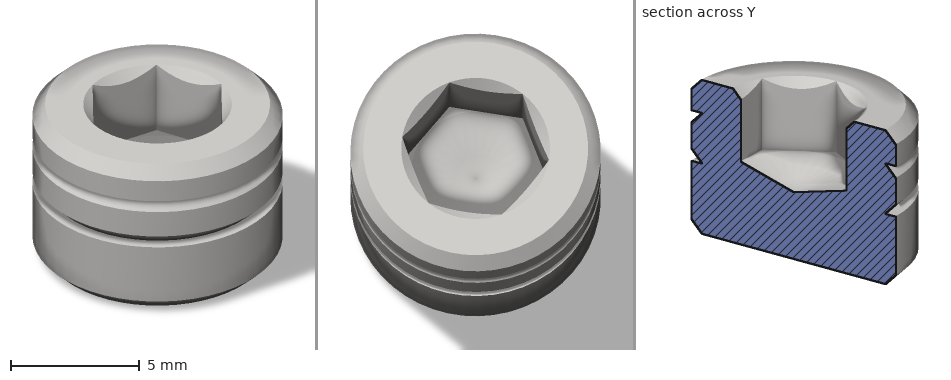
import cadquery as cq
import math

outer_radius = 4.865
height = 6.5
chamfer = 0.5

upper_shoulder_z = height - 1.41
lower_shoulder_z = height - 3.52
groove_depth = 0.5
groove_root_radius = outer_radius - groove_depth

socket_flats = 5.0
socket_depth = 3.0
socket_corners = socket_flats / math.cos(math.radians(30))
lead_in_angle = 45.0
drill_point_angle = 150.0


def make_body():
    """Turned plug with chamfered ends and two V-shaped grooves."""
    profile = (
        cq.Workplane("XZ")
        .moveTo(0, 0)
        .lineTo(outer_radius - chamfer, 0)
        .lineTo(outer_radius, chamfer)
        .lineTo(outer_radius, lower_shoulder_z)
        .lineTo(groove_root_radius, lower_shoulder_z)
        .lineTo(outer_radius, lower_shoulder_z + groove_depth)
        .lineTo(outer_radius, upper_shoulder_z - groove_depth)
        .lineTo(groove_root_radius, upper_shoulder_z)
        .lineTo(outer_radius, upper_shoulder_z)
        .lineTo(outer_radius, height - chamfer)
        .lineTo(outer_radius - chamfer, height)
        .lineTo(0, height)
        .close()
    )
    return profile.revolve(360, (0, 0), (0, 1))


def make_cone(radius, depth, base_z):
    """Cone that points down from a circle at base_z."""
    profile = (
        cq.Workplane("XZ")
        .moveTo(0, base_z)
        .lineTo(radius, base_z)
        .lineTo(0, base_z - depth)
        .close()
    )
    return profile.revolve(360, (0, 0), (0, 1))


def make_socket():
    """Hexagon hole with a countersunk mouth and a conical drill point."""
    floor_z = height - socket_depth
    hexagon = (
        cq.Workplane("XY", origin=(0, 0, floor_z))
        .transformed(rotate=(0, 0, 90))
        .polygon(6, socket_corners)
        .extrude(socket_depth)
    )
    mouth_radius = socket_corners / 2
    lead_in = make_cone(mouth_radius, mouth_radius * math.tan(math.radians(lead_in_angle)), height)
    drill_radius = socket_flats / 2
    drill_point = make_cone(
        drill_radius, drill_radius / math.tan(math.radians(drill_point_angle / 2)), floor_z
    )
    return hexagon.union(lead_in).union(drill_point)


result = make_body().cut(make_socket())